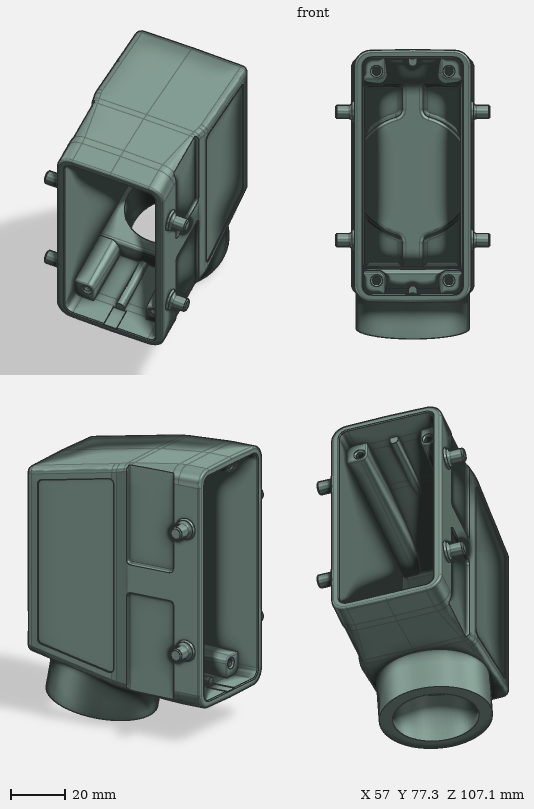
import cadquery as cq
import math


MOUTH_HALF_WIDTH = 21.55
BACK_HALF_WIDTH = 22.6
MOUTH_HALF_HEIGHT = 46.8
BODY_DEPTH = 75.84
CROWN_SLOPE = 1.0
MOUTH_CORNER = 6.15
BACK_CORNER = 2.7
BACK_FILLET = 2.6
MOUTH_FILLET = 0.95
FIRST_SLOPE = 6.0
SECOND_SLOPE = 11.0
FIRST_BREAK = 11.05
SECOND_BREAK = 31.9
FIRST_BLEND = 1.55
SECOND_BLEND = 1.3
FLARE_START = 32.0
FLARE_END = 37.0
FLARE_BLEND = 1.0

SPIGOT_RADIUS = 21.0
BORE_RADIUS = 16.0
SPIGOT_END_Y = 56.7
SPIGOT_END_Z = -56.3
SPIGOT_ROOT = 20.0
BORE_LENGTH = 26.0

RECESS_DEPTH = 1.25
RECESS_FRONT = 11.55
RECESS_BACK = 32.3
RECESS_HALF_GAP = 5.4
RECESS_CORNER = 2.0
RECESS_DRAFT = 0.65
RECESS_FILLET = 0.6
PANEL_FRONT = 37.1
PANEL_BACK = 70.6
PANEL_MARGIN = 5.4
PANEL_CORNER = 2.0
PANEL_DEPTH = 0.35
PANEL_CHAMFER = 0.25

PIN_TIP_X = 28.5
PIN_Y = 6.25
PIN_Z = 23.7
PIN_RADIUS = 2.5
PIN_CHAMFER = 0.5
PIN_FLARE = 1.1
PIN_FOOT_X = 22.5
PIN_FOOT_RADIUS = 4.15
PIN_ROOT_X = 20.5

WALL = 3.1
LIP_HALF_WIDTH = 18.35
INNER_BACK_HALF_WIDTH = 17.65
INNER_CORNER = 3.2
INNER_BACK_CORNER = 0.3
LIP_CHAMFER = 0.4
CAVITY_DEPTH = 72.0
FLOOR_FILLET = 1.6

RELIEF_HEIGHT = 3.0
RELIEF_RADIUS = 22.65
RELIEF_STRIP_HALF_WIDTH = 3.8
RELIEF_CORNER = 3.0
RELIEF_FILLET = 1.25

LEDGE_FRONT = 30.7
LEDGE_FRONT_Z = -34.65
LEDGE_BACK_Z = -33.5
LEDGE_FILLET = 1.6

BOSS_FACE_Y = 8.6
BOSS_INNER_X = 10.5
BOSS_INNER_Z = 35.7
BOSS_CORNER = 2.5
BOSS_DRAFT = 2.1
BOSS_EDGE = 0.5
SCREW_X = 13.4
SCREW_Z = 38.7
SCREW_RADIUS = 1.5
SCREW_COUNTERSINK = 2.2
SCREW_DEPTH = 12.0
RIB_FACE_Y = 9.0
RIB_RADIUS = 1.6
RIB_CENTRE_Z = 42.2
RIB_DRAFT = 0.7
GROOVE_HALF_WIDTH = 2.6
GROOVE_DEPTH = 0.25

BEYOND = 10.0


def tan_deg(angle):
    return math.tan(math.radians(angle))


def interpolate(stations, y):
    """Straight-line value at Y between (Y, value) stations, held constant past both ends."""
    if y <= stations[0][0]:
        return stations[0][1]
    for (y0, v0), (y1, v1) in zip(stations, stations[1:]):
        if y <= y1:
            return v0 + (v1 - v0) * (y - y0) / (y1 - y0)
    return stations[-1][1]


def sloped_half_height(y):
    """Half height of the body at Y, with a chord in place of each rounded slope break."""
    stations = [
        (FIRST_BREAK - FIRST_BLEND, 0.0),
        (FIRST_BREAK + FIRST_BLEND, tan_deg(FIRST_SLOPE) * FIRST_BLEND),
    ]
    drop = tan_deg(FIRST_SLOPE) * (SECOND_BREAK - SECOND_BLEND - FIRST_BREAK)
    stations.append((SECOND_BREAK - SECOND_BLEND, drop))
    drop += tan_deg(FIRST_SLOPE) * SECOND_BLEND + tan_deg(SECOND_SLOPE) * SECOND_BLEND
    stations.append((SECOND_BREAK + SECOND_BLEND, drop))
    drop += tan_deg(SECOND_SLOPE) * (BODY_DEPTH - SECOND_BREAK - SECOND_BLEND)
    stations.append((BODY_DEPTH, drop))
    return MOUTH_HALF_HEIGHT - interpolate(stations, y)


def outer_half_width(y):
    rate = (BACK_HALF_WIDTH - MOUTH_HALF_WIDTH) / (FLARE_END - FLARE_START)
    blend_start = FLARE_END - FLARE_BLEND
    stations = [
        (FLARE_START, MOUTH_HALF_WIDTH),
        (blend_start, MOUTH_HALF_WIDTH + rate * (blend_start - FLARE_START)),
        (FLARE_END + FLARE_BLEND, BACK_HALF_WIDTH),
    ]
    return interpolate(stations, y)


def outer_corner(y):
    return interpolate([(FIRST_BREAK, MOUTH_CORNER), (SECOND_BREAK, BACK_CORNER)], y)


def outer_section(y):
    """Rounded rectangle across the body at Y, its top and bottom rising to a crown at X = 0."""
    half_width = outer_half_width(y)
    crown = sloped_half_height(y)
    side = crown - tan_deg(CROWN_SLOPE) * half_width
    points = [
        (half_width, -side),
        (half_width, side),
        (0, crown),
        (-half_width, side),
        (-half_width, -side),
        (0, -crown),
    ]
    wire = cq.Workplane("XZ", origin=(0, y, 0)).polyline(points).close().val()
    corners = [v for v in wire.Vertices() if abs(v.X) > half_width / 2]
    return wire.fillet2D(outer_corner(y), corners)


def cavity_section(y, growth=0.0, square=False):
    """Rectangle across the cavity at Y, grown outwards all round and rounded unless square."""
    narrowing = (LIP_HALF_WIDTH - INNER_BACK_HALF_WIDTH) * y / CAVITY_DEPTH
    half_width = LIP_HALF_WIDTH - narrowing + growth
    half_height = sloped_half_height(y) - WALL + growth
    wire = cq.Workplane("XZ", origin=(0, y, 0)).rect(2 * half_width, 2 * half_height).val()
    if square:
        return wire
    corner = interpolate([(FIRST_BREAK, INNER_CORNER), (SECOND_BREAK, INNER_BACK_CORNER)], y)
    return wire.fillet2D(corner + growth, wire.Vertices())


def break_stations():
    return [
        FIRST_BREAK - FIRST_BLEND,
        FIRST_BREAK + FIRST_BLEND,
        SECOND_BREAK - SECOND_BLEND,
        SECOND_BREAK + SECOND_BLEND,
    ]


def outer_body():
    stations = sorted(
        [0, FLARE_START, FLARE_END - FLARE_BLEND, FLARE_END + FLARE_BLEND, BODY_DEPTH] + break_stations()
    )
    wires = [outer_section(y) for y in stations]
    body = cq.Workplane(cq.Solid.makeLoft(wires, True))
    body = body.faces(">Y").edges().fillet(BACK_FILLET)
    return body.faces("<Y").edges().fillet(MOUTH_FILLET)


def spigot_plane():
    tilt = math.radians(SECOND_SLOPE)
    return cq.Plane(
        origin=(0, SPIGOT_END_Y, SPIGOT_END_Z),
        xDir=(1, 0, 0),
        normal=(0, -math.sin(tilt), math.cos(tilt)),
    )


def spigot_cylinder(radius, length):
    return cq.Workplane(spigot_plane()).circle(radius).extrude(length)


def side_recess():
    """Drafted recess in the -X side, upper half, running out through the top corner."""
    lean = math.degrees(math.atan2(RECESS_DRAFT, RECESS_DEPTH))
    top = MOUTH_HALF_HEIGHT + BEYOND
    recess = (
        cq.Workplane("YZ", origin=(-MOUTH_HALF_WIDTH, 0, 0))
        .moveTo((RECESS_FRONT + RECESS_BACK) / 2, (RECESS_HALF_GAP + top) / 2)
        .sketch()
        .rect(RECESS_BACK - RECESS_FRONT, top - RECESS_HALF_GAP)
        .vertices()
        .fillet(RECESS_CORNER)
        .finalize()
        .extrude(RECESS_DEPTH, taper=lean)
    )
    return recess.faces(">X").edges().fillet(RECESS_FILLET)


def label_panel():
    """Shallow panel sunk in the -X side, its ends parallel to the sloped faces."""
    front = sloped_half_height(PANEL_FRONT) - PANEL_MARGIN
    back = sloped_half_height(PANEL_BACK) - PANEL_MARGIN
    return (
        cq.Workplane("YZ", origin=(-BACK_HALF_WIDTH, 0, 0))
        .polyline([(PANEL_FRONT, -front), (PANEL_FRONT, front), (PANEL_BACK, back), (PANEL_BACK, -back)])
        .close()
        .extrude(PANEL_DEPTH)
        .edges("|X")
        .fillet(PANEL_CORNER)
        .faces(">X")
        .edges()
        .chamfer(PANEL_CHAMFER)
    )


def locking_pin():
    """Pin on the -X side, upper position, with a chamfered tip and a concave foot."""
    bend = PIN_FLARE * (1 - math.sqrt(0.5))
    shank_x = PIN_FOOT_X + PIN_FLARE
    shank_y = PIN_Y - PIN_RADIUS
    return (
        cq.Workplane("XY", origin=(0, 0, PIN_Z))
        .moveTo(-PIN_ROOT_X, PIN_Y)
        .lineTo(-PIN_ROOT_X, PIN_Y - PIN_FOOT_RADIUS)
        .lineTo(-MOUTH_HALF_WIDTH, PIN_Y - PIN_FOOT_RADIUS)
        .lineTo(-PIN_FOOT_X, shank_y - PIN_FLARE)
        .threePointArc((-PIN_FOOT_X - bend, shank_y - bend), (-shank_x, shank_y))
        .lineTo(-PIN_TIP_X + PIN_CHAMFER, shank_y)
        .lineTo(-PIN_TIP_X, shank_y + PIN_CHAMFER)
        .lineTo(-PIN_TIP_X, PIN_Y)
        .close()
        .revolve(360, (0, PIN_Y, 0), (1, PIN_Y, 0))
    )


def both_sides(shape):
    return shape.union(shape.mirror("YZ"))


def four_corners(shape):
    return both_sides(shape.union(shape.mirror("XY")))


def cavity_blank():
    """Main hollow, following the outer slopes one wall thickness inside."""
    stations = [LIP_CHAMFER] + break_stations()
    wires = [cavity_section(0, LIP_CHAMFER)] + [cavity_section(y) for y in stations]
    front = cq.Workplane(cq.Solid.makeLoft(wires, True))
    rear_wires = [cavity_section(y, square=True) for y in (stations[-1], CAVITY_DEPTH)]
    return front.union(cq.Workplane(cq.Solid.makeLoft(rear_wires, True)))


def back_relief():
    """Disc and vertical strip that stand proud of the back wall."""
    face_y = CAVITY_DEPTH - RELIEF_HEIGHT
    depth = RELIEF_HEIGHT + BEYOND
    plane = cq.Workplane("XZ", origin=(0, face_y, 0))
    disc = plane.circle(RELIEF_RADIUS).extrude(-depth)
    strip = plane.rect(2 * RELIEF_STRIP_HALF_WIDTH, 2 * MOUTH_HALF_HEIGHT).extrude(-depth)
    inside_strip = RELIEF_STRIP_HALF_WIDTH + RELIEF_CORNER / 2
    relief = disc.union(strip)
    junctions = cq.selectors.BoxSelector(
        (-inside_strip, face_y - BEYOND, -RELIEF_RADIUS),
        (inside_strip, face_y + depth, RELIEF_RADIUS),
    )
    relief = relief.edges("|Y").edges(junctions).fillet(RELIEF_CORNER)
    return relief.faces("<Y").edges().fillet(RELIEF_FILLET)


def bore_ledge():
    """Raised floor behind LEDGE_FRONT, rising slightly towards the back."""
    bottom = -MOUTH_HALF_HEIGHT
    back = BODY_DEPTH + BEYOND
    rise = (LEDGE_BACK_Z - LEDGE_FRONT_Z) / (CAVITY_DEPTH - LEDGE_FRONT)
    ledge = (
        cq.Workplane("YZ", origin=(-MOUTH_HALF_WIDTH, 0, 0))
        .polyline(
            [
                (LEDGE_FRONT, bottom),
                (LEDGE_FRONT, LEDGE_FRONT_Z),
                (back, LEDGE_FRONT_Z + rise * (back - LEDGE_FRONT)),
                (back, bottom),
            ]
        )
        .close()
        .extrude(2 * MOUTH_HALF_WIDTH)
    )
    return ledge.edges("|X").edges("<Y").edges(">Z").fillet(LEDGE_FILLET)


def screw_boss():
    """Boss in the +X, +Z corner; it widens with depth."""
    outer_x = MOUTH_HALF_WIDTH
    outer_z = MOUTH_HALF_HEIGHT
    boss = (
        cq.Workplane("XZ", origin=(0, BOSS_FACE_Y, 0))
        .moveTo((BOSS_INNER_X + outer_x) / 2, (BOSS_INNER_Z + outer_z) / 2)
        .sketch()
        .rect(outer_x - BOSS_INNER_X, outer_z - BOSS_INNER_Z)
        .vertices("<X and <Y")
        .fillet(BOSS_CORNER)
        .finalize()
        .extrude(-(BODY_DEPTH - BOSS_FACE_Y), taper=-BOSS_DRAFT)
    )
    return boss.faces("<Y").edges().fillet(BOSS_EDGE)


def screw_hole():
    """Countersunk blind hole in the face of the +X, +Z boss."""
    chamfer = SCREW_COUNTERSINK - SCREW_RADIUS
    plane = cq.Workplane("XZ", origin=(SCREW_X, BOSS_FACE_Y, SCREW_Z))
    hole = plane.circle(SCREW_RADIUS).extrude(-SCREW_DEPTH)
    countersink = cq.Solid.makeCone(
        SCREW_COUNTERSINK,
        SCREW_RADIUS,
        chamfer,
        pnt=cq.Vector(SCREW_X, BOSS_FACE_Y, SCREW_Z),
        dir=cq.Vector(0, 1, 0),
    )
    return hole.union(cq.Workplane(countersink))


def guide_rib():
    """Round-nosed rib under the top wall."""
    return (
        cq.Workplane("XZ", origin=(0, RIB_FACE_Y, 0))
        .moveTo(-RIB_RADIUS, MOUTH_HALF_HEIGHT)
        .lineTo(-RIB_RADIUS, RIB_CENTRE_Z)
        .threePointArc((0, RIB_CENTRE_Z - RIB_RADIUS), (RIB_RADIUS, RIB_CENTRE_Z))
        .lineTo(RIB_RADIUS, MOUTH_HALF_HEIGHT)
        .close()
        .extrude(-(BODY_DEPTH - RIB_FACE_Y), taper=-RIB_DRAFT)
    )


def floor_groove():
    """Shallow groove in the floor between the mouth and the lower rib."""
    floor_z = WALL - MOUTH_HALF_HEIGHT
    return (
        cq.Workplane("XY", origin=(0, 0, floor_z))
        .box(2 * GROOVE_HALF_WIDTH, RIB_FACE_Y, 2 * GROOVE_DEPTH, centered=(True, False, True))
    )


def cavity():
    rib = guide_rib()
    hollow = cavity_blank().cut(back_relief()).cut(bore_ledge())
    hollow = hollow.faces(">Y").edges().fillet(FLOOR_FILLET)
    hollow = hollow.cut(four_corners(screw_boss()))
    hollow = hollow.cut(rib.union(rib.mirror("XY")))
    return hollow.union(floor_groove())


def hood():
    body = outer_body().union(spigot_cylinder(SPIGOT_RADIUS, SPIGOT_ROOT))
    body = body.cut(four_corners(side_recess())).cut(both_sides(label_panel()))
    body = body.union(four_corners(locking_pin()))
    body = body.cut(cavity())
    body = body.cut(spigot_cylinder(BORE_RADIUS, BORE_LENGTH))
    return body.cut(four_corners(screw_hole()))


result = hood()